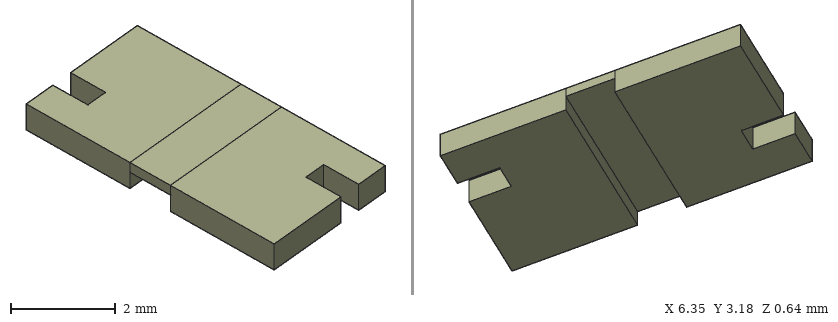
import cadquery as cq

length = 6.35
width = 3.18
thickness = 0.64

strip_length = 1.035
strip_thickness = 0.24

slot_depth = 0.895
slot_width = 0.51
slot_side_margin = 0.76

terminal_length = (length - strip_length) / 2
terminal_angles = (0, 180)


def make_terminal(angle):
    """Slotted end block on the -X side, turned about Z by the given angle."""
    outer_x = -length / 2
    side_y = -width / 2
    block = cq.Workplane("XY").box(terminal_length, width, thickness, centered=False)
    slot = (
        cq.Workplane("XY")
        .box(slot_depth, slot_width, thickness, centered=False)
        .translate((0, slot_side_margin, 0))
    )
    terminal = block.cut(slot).translate((outer_x, side_y, 0))
    return terminal.rotate((0, 0, 0), (0, 0, 1), angle)


def make_strip():
    """Flat strip filling the gap between the terminals."""
    return (
        cq.Workplane("XY")
        .box(strip_length, width, strip_thickness, centered=(True, True, False))
        .translate((0, 0, thickness - strip_thickness))
    )


terminals = [make_terminal(angle) for angle in terminal_angles]
strip = make_strip()

result = cq.Compound.makeCompound([*(terminal.val() for terminal in terminals), strip.val()])